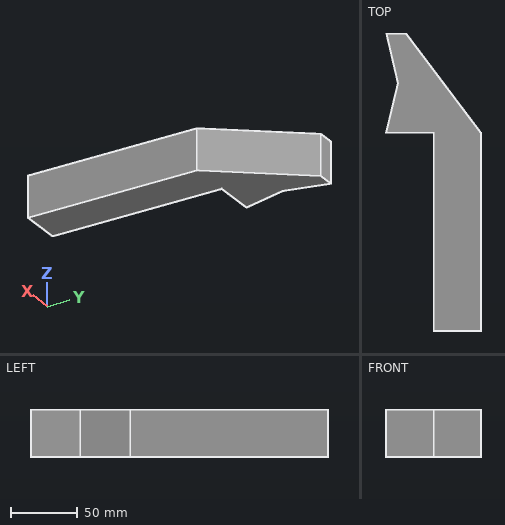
import cadquery as cq


bar_size = 36.0
head_width = 2 * bar_size
total_length = 225.23

shank_length = 150.0
head_length = total_length - shank_length

notch_depth = 9.0
tip_setback = 0.3
tip_width = 15.0

shank_left = head_width - bar_size
tip_right = tip_setback + tip_width
notch_y = shank_length + head_length / 2


def bar_outline():
    """Closed outline of the bar in the XY plane, counter-clockwise from the shank's foot."""
    return (
        cq.Workplane("XY")
        .moveTo(shank_left, 0)
        .lineTo(head_width, 0)
        .lineTo(head_width, shank_length)
        .lineTo(tip_right, total_length)
        .lineTo(tip_setback, total_length)
        .lineTo(notch_depth, notch_y)
        .lineTo(0, shank_length)
        .lineTo(shank_left, shank_length)
        .close()
    )


result = bar_outline().extrude(bar_size)